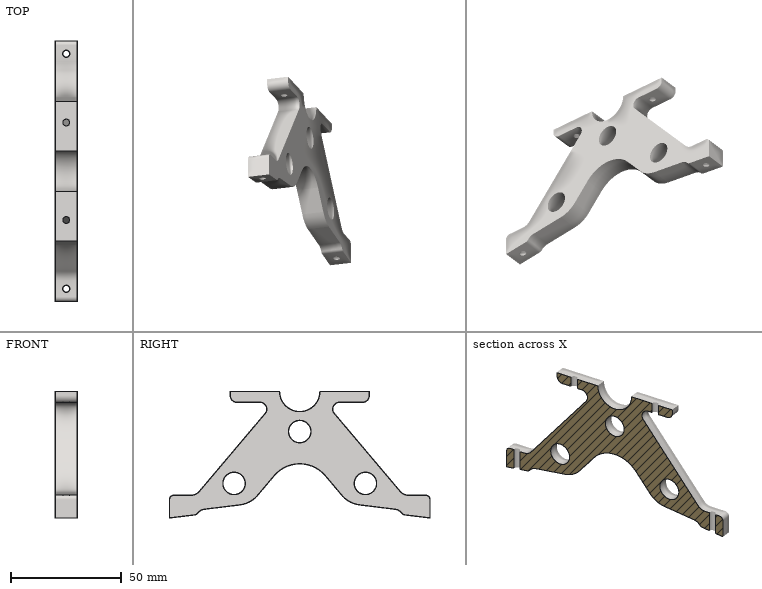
import cadquery as cq
import math

thickness = 10.0
length = 117.4
height = 57.0
half_length = length / 2

flange_reach = 31.3
flange_thickness = 4.9
flange_corner_radius = 3.0
undercut_radius = 3.0
saddle_radius = 9.0

leg_angle = math.radians(49.8)
leg_top_y = 11.4
arch_crown_z = 24.4
arch_radius = 15.0
knee_radius = 12.3

foot_top_z = 10.3
foot_tip_radius = 2.0
foot_bend_radius = 4.9
underside_angle = math.radians(7.0)
underside_rise = 2.0
step_y = 46.6
step_inner_radius = 4.7
step_outer_radius = 2.0

cross_hole_diameter = 10.0
center_hole_z = 39.0
leg_hole_y = 29.6
leg_hole_z = 15.6
screw_diameter = 3.0
flange_screw_y = 22.0
foot_screw_y = 52.9

leg_slope = math.tan(leg_angle)
underside_slope = math.tan(underside_angle)
flange_bottom_z = height - flange_thickness
foot_bend_y = leg_top_y + (flange_bottom_z - foot_top_z) / leg_slope
step_bottom_z = (half_length - step_y) * underside_slope
step_run = underside_rise / (leg_slope - underside_slope)
step_top_y = step_y - step_run
step_top_z = step_bottom_z + step_run * leg_slope
arch_apex_z = arch_crown_z - arch_radius + arch_radius / math.cos(leg_angle)
knee_y = (arch_apex_z - step_top_z - step_top_y * underside_slope) / (leg_slope - underside_slope)
knee_z = arch_apex_z - knee_y * leg_slope

side_corners = [
    (flange_reach, height, 0),
    (flange_reach, flange_bottom_z, flange_corner_radius),
    (leg_top_y, flange_bottom_z, undercut_radius),
    (foot_bend_y, foot_top_z, foot_bend_radius),
    (half_length, foot_top_z, foot_tip_radius),
    (half_length, 0, 0),
    (step_y, step_bottom_z, step_outer_radius),
    (step_top_y, step_top_z, step_inner_radius),
    (knee_y, knee_z, knee_radius),
]
mirrored_corners = [(-y, z, radius) for y, z, radius in reversed(side_corners)]
corners = side_corners + [(0, arch_apex_z, arch_radius)] + mirrored_corners


def rounded_plate():
    """Extrude the sharp outline along X, then round its corners."""
    outline = [(y, z) for y, z, radius in corners]
    plate = cq.Workplane("YZ", origin=(-thickness / 2, 0, 0)).polyline(outline).close().extrude(thickness)
    for y, z, radius in corners:
        if radius > 0:
            corner_edge = cq.selectors.NearestToPointSelector((0, y, z))
            plate = plate.edges("|X").edges(corner_edge).fillet(radius)
    return plate


def cross_cylinders(centers, diameter):
    """Cylinders along X that pass through the whole plate."""
    plane = cq.Workplane("YZ", origin=(-thickness / 2, 0, 0))
    return plane.pushPoints(centers).circle(diameter / 2).extrude(thickness)


def screw_holes(distance, bottom_z, top_z):
    """A mirrored pair of vertical screw hole cylinders."""
    centers = [(0, -distance), (0, distance)]
    plane = cq.Workplane("XY", origin=(0, 0, bottom_z))
    return plane.pushPoints(centers).circle(screw_diameter / 2).extrude(top_z - bottom_z)


cross_hole_centers = [(0, center_hole_z), (-leg_hole_y, leg_hole_z), (leg_hole_y, leg_hole_z)]

result = (
    rounded_plate()
    .cut(cross_cylinders([(0, height)], 2 * saddle_radius))
    .cut(cross_cylinders(cross_hole_centers, cross_hole_diameter))
    .cut(screw_holes(flange_screw_y, flange_bottom_z, height))
    .cut(screw_holes(foot_screw_y, 0, foot_top_z))
)